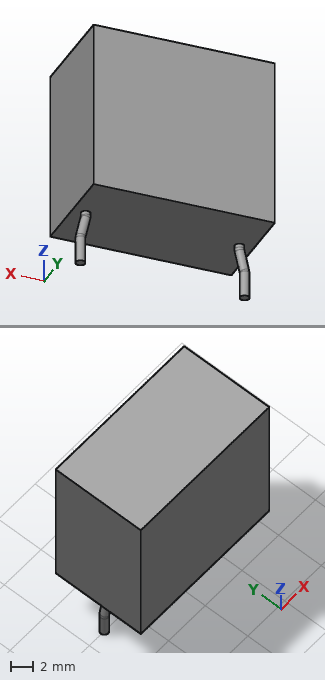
import cadquery as cq
import math

HOUSING_LENGTH = 17.5
HOUSING_WIDTH = 10.01
OVERALL_HEIGHT = 21.72
LEAD_LENGTH = 5.23
HOUSING_HEIGHT = OVERALL_HEIGHT - LEAD_LENGTH

LEAD_DIAMETER = 0.9
LEAD_EXIT_SPACING = 14.85
STRAIGHT_EXIT = 0.33
SPLAY_HEIGHT = 2.35
SPLAY_ANGLE = math.radians(13.0)
BEND_RADIUS = 0.9

BEND_DROP = BEND_RADIUS * math.sin(SPLAY_ANGLE)
BEND_SHIFT = BEND_RADIUS * (1 - math.cos(SPLAY_ANGLE))
SLOPE_DROP = SPLAY_HEIGHT - 2 * BEND_DROP
SLOPE_SHIFT = SLOPE_DROP * math.tan(SPLAY_ANGLE)


def make_housing():
    return cq.Workplane("XY").box(
        HOUSING_LENGTH, HOUSING_WIDTH, HOUSING_HEIGHT, centered=(True, True, False)
    )


def make_lead(side):
    """Lead leaving the housing underside; side is -1 or +1 along X."""
    exit_x = side * LEAD_EXIT_SPACING / 2
    centreline = (
        cq.Workplane("XZ")
        .moveTo(exit_x, 0)
        .line(0, -STRAIGHT_EXIT)
        .tangentArcPoint((side * BEND_SHIFT, -BEND_DROP))
        .line(side * SLOPE_SHIFT, -SLOPE_DROP)
        .tangentArcPoint((side * BEND_SHIFT, -BEND_DROP))
        .lineTo(exit_x + side * (2 * BEND_SHIFT + SLOPE_SHIFT), -LEAD_LENGTH)
    )
    return cq.Workplane("XY").center(exit_x, 0).circle(LEAD_DIAMETER / 2).sweep(centreline)


housing = make_housing()
leads = [make_lead(side) for side in (-1, 1)]

result = cq.Compound.makeCompound([housing.val(), *[lead.val() for lead in leads]])